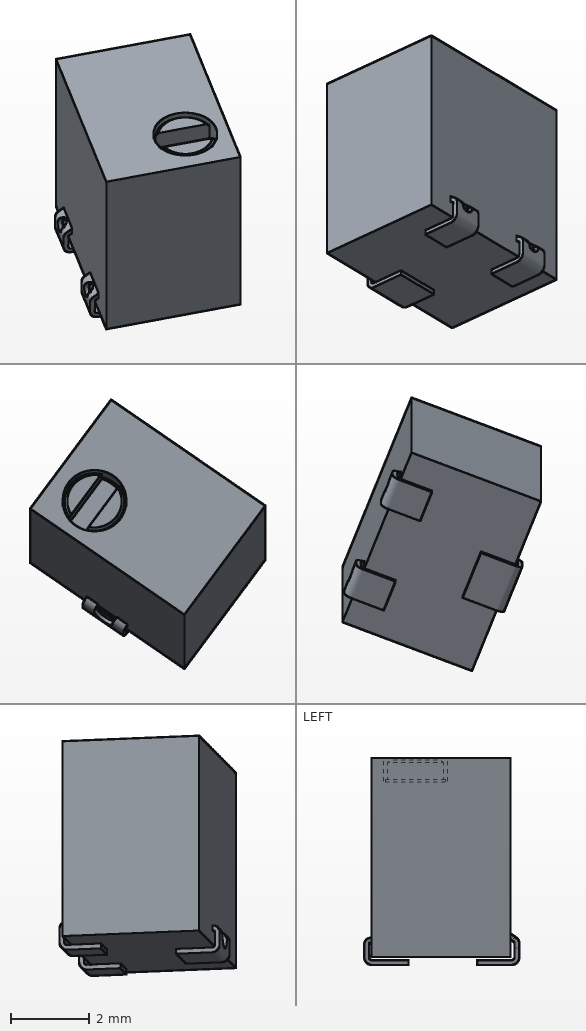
import cadquery as cq
import math

body_width = 4.83
overall_depth = 3.96
overall_height = 5.28

strip_thickness = 0.125
lower_bend_radius = 0.205
upper_bend_radius = 0.185
front_reach = 0.225
rear_reach = 0.185

standoff = 0.205
body_depth = overall_depth - front_reach - rear_reach
front_face = -body_depth / 2
rear_face = body_depth / 2

front_width = 0.825
front_spacing = 2.545
front_foot_length = 0.85
front_upright_top = 0.55
front_bend_angle = 55
front_arm_length = 0.21
front_hole_diameter = 0.345
front_hole_height = 0.605
front_hole_tilt = 40
front_hole_shift = 0.07
front_hole_pivot = 0.18

rear_width = 1.28
rear_foot_length = 0.95
rear_upright_top = 0.52
notch_width = 0.57
notch_bottom = 0.23

screw_x = 1.205
screw_y = 0.65
bore_diameter = 1.625
screw_diameter = 1.525
screw_recess = 0.055
screw_chamfer = 0.07
slot_width = 0.55
slot_depth = 0.5
screw_base = 0.055
bore_depth = screw_recess + slot_depth + screw_base


def bent_strip(width, reach, foot_length, upright_top, bend_angle, arm_length):
    """Terminal centred on X = 0 for a body face at Y = 0, standing out toward -Y.

    The strip runs along the foot, up the upright and round the upper bend
    by bend_angle degrees, then straight on by arm_length.
    """

    def lower_bend(offset, angle):
        radius = lower_bend_radius - offset
        turn = math.radians(angle)
        center_y = lower_bend_radius - reach
        return (center_y - radius * math.cos(turn), lower_bend_radius - radius * math.sin(turn))

    def upper_bend(offset, angle):
        radius = upper_bend_radius - offset
        turn = math.radians(angle)
        center_y = upper_bend_radius - reach
        return (center_y - radius * math.cos(turn), upright_top + radius * math.sin(turn))

    def past_bend(point):
        turn = math.radians(bend_angle)
        return (point[0] + arm_length * math.sin(turn), point[1] + arm_length * math.cos(turn))

    outer_end = upper_bend(0, bend_angle)
    inner_end = upper_bend(strip_thickness, bend_angle)

    profile = (
        cq.Workplane("YZ")
        .moveTo(foot_length, 0)
        .lineTo(*lower_bend(0, 90))
        .threePointArc(lower_bend(0, 45), lower_bend(0, 0))
        .lineTo(*upper_bend(0, 0))
        .threePointArc(upper_bend(0, bend_angle / 2), outer_end)
    )
    if arm_length > 0:
        profile = profile.lineTo(*past_bend(outer_end))
        profile = profile.lineTo(*past_bend(inner_end))
    profile = (
        profile.lineTo(*inner_end)
        .threePointArc(
            upper_bend(strip_thickness, bend_angle / 2),
            upper_bend(strip_thickness, 0),
        )
        .lineTo(*lower_bend(strip_thickness, 0))
        .threePointArc(lower_bend(strip_thickness, 45), lower_bend(strip_thickness, 90))
        .lineTo(foot_length, strip_thickness)
        .close()
    )
    return profile.extrude(width / 2, both=True)


def round_bottom_slot(width, bottom, top, depth):
    """Upright slot cutter with a half-round bottom, reaching from Y = 0 toward -Y."""
    radius = width / 2
    return (
        cq.Workplane("XZ")
        .moveTo(-radius, top)
        .lineTo(-radius, bottom + radius)
        .threePointArc((0, bottom), (radius, bottom + radius))
        .lineTo(radius, top)
        .close()
        .extrude(depth)
    )


def make_front_hole():
    """Hole that is level below its middle and tilts with the bend above it."""
    radius = front_hole_diameter / 2
    tilt_height = front_hole_height + front_hole_shift
    level_half = round_bottom_slot(
        front_hole_diameter, front_hole_height - radius, tilt_height, front_reach
    )
    tilted_half = (
        cq.Workplane("XZ")
        .moveTo(-radius, 0)
        .threePointArc((0, radius), (radius, 0))
        .close()
        .extrude(2 * front_reach, both=True)
        .rotate((0, 0, 0), (1, 0, 0), -front_hole_tilt)
        .translate((0, -front_hole_pivot, tilt_height))
    )
    return level_half.union(tilted_half)


def make_front_terminal():
    strip = bent_strip(
        front_width, front_reach, front_foot_length,
        front_upright_top, front_bend_angle, front_arm_length,
    )
    return strip.cut(make_front_hole()).translate((0, front_face, 0))


def make_rear_terminal():
    strip = bent_strip(rear_width, rear_reach, rear_foot_length, rear_upright_top, 90, 0)

    strip_top = rear_upright_top + upper_bend_radius
    notch = round_bottom_slot(notch_width, notch_bottom, strip_top, rear_reach)

    pad_depth = rear_reach - strip_thickness
    pad_top = strip_top - strip_thickness
    pad = cq.Workplane("XY").box(
        notch_width, pad_depth, pad_top - notch_bottom, centered=(True, False, False)
    ).translate((0, -pad_depth, notch_bottom))

    terminal = strip.cut(notch).union(pad)
    return terminal.rotate((0, 0, 0), (0, 0, 1), 180).translate((0, rear_face, 0))


def make_body():
    block = cq.Workplane("XY").box(
        body_width, body_depth, overall_height - standoff, centered=(True, True, False)
    ).translate((0, 0, standoff))
    bore = (
        cq.Workplane("XY", origin=(screw_x, screw_y, overall_height))
        .circle(bore_diameter / 2)
        .extrude(-bore_depth)
    )
    return block.cut(bore)


def make_screw():
    """Chamfered, slotted screw head standing on the floor of the bore."""
    head = (
        cq.Workplane("XY", origin=(screw_x, screw_y, overall_height - bore_depth))
        .circle(screw_diameter / 2)
        .extrude(bore_depth - screw_recess)
        .faces(">Z")
        .chamfer(screw_chamfer)
    )
    slot = (
        cq.Workplane("XY", origin=(screw_x, screw_y, overall_height - screw_recess))
        .rect(slot_width, bore_diameter)
        .extrude(-slot_depth)
    )
    return head.cut(slot)


result = make_body().union(make_screw()).union(make_rear_terminal())
for side in (-1, 1):
    result = result.union(make_front_terminal().translate((side * front_spacing / 2, 0, 0)))